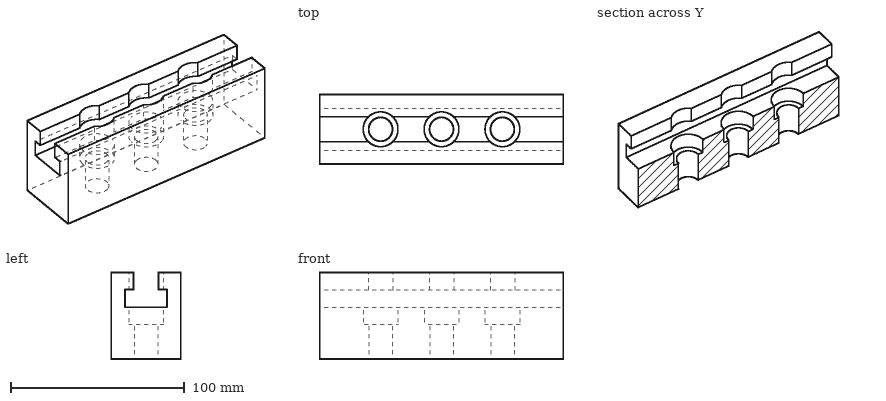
import cadquery as cq

length = 140.0
width = 40.0
height = 50.0

neck_width = 14.3
lip_thickness = 10.0
slot_width = 24.0
slot_depth = 20.0

hole_count = 3
hole_spacing = 35.0
hole_diameter = 13.6
counterbore_diameter = 20.0
counterbore_below_floor = 10.0


def t_slot():
    """Narrow neck through the lips with a wider channel beneath."""
    top = cq.Workplane("XY").workplane(offset=height)
    neck = top.rect(length, neck_width).extrude(-slot_depth)
    channel = (
        top.workplane(offset=-lip_thickness)
        .rect(length, slot_width)
        .extrude(lip_thickness - slot_depth)
    )
    return neck.union(channel)


block = cq.Workplane("XY").box(length, width, height, centered=(True, True, False))

result = (
    block.cut(t_slot())
    .faces(">Z")
    .workplane(origin=(0, 0, height))
    .rarray(hole_spacing, 1.4, hole_count, 1)
    .cboreHole(hole_diameter, counterbore_diameter, slot_depth + counterbore_below_floor)
)